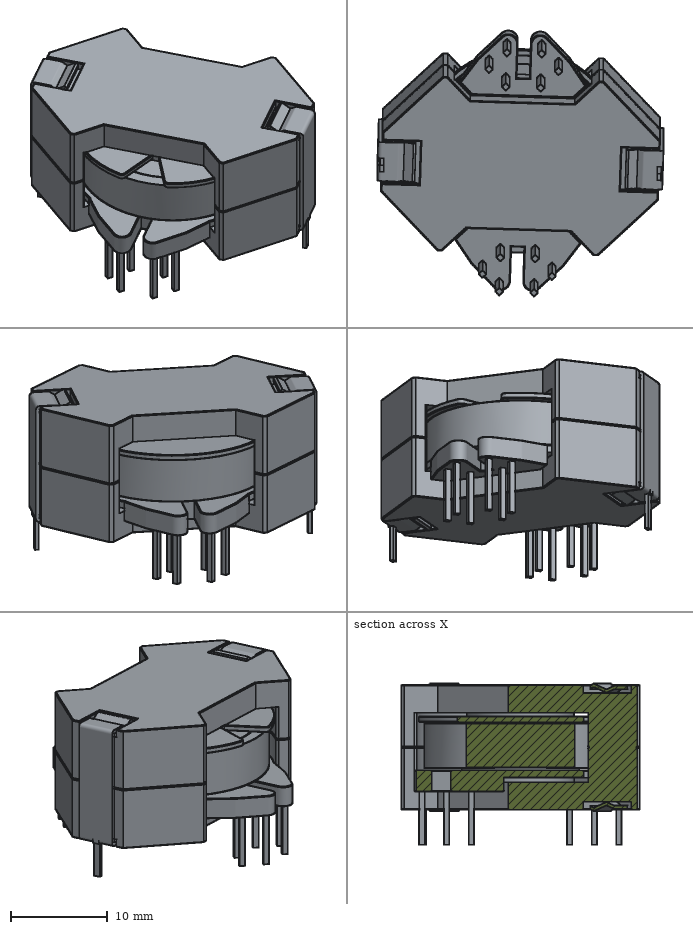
import cadquery as cq
import math

core_half_side = 12.35
long_diagonal = 45
nose_angles = (long_diagonal, long_diagonal + 180)
core_half_height = 6.47
notch_edge = 0.95
waist_half_width = 6.72
nose_distance = 14.35
tip_chamfer = 0.32
edge_chamfer = 0.1
post_radius = 11.1 / 2
window_radius = 10.77
window_half_width = 7.11
window_half_height = 3.58

clip_width = 4.08
sheet = 0.4
clip_top = 6.4
clip_outer = nose_distance + sheet
hook_top = 6.62
seat_width = 4.55
seat_depth = 0.85
seat_chamfer = 0.1
seat_end = 10.4
dip_start = 12.67
dip_bottom = 12.08
hook_ridge = 11.15
hook_tip = 10.9
hook_tip_drop = 0.2
dip_rounding = 0.3
clip_pin_width = 0.72
clip_pin_inset = 0.2

tube_radius = 12.2 / 2
flange_radius = 10.52
upper_flange_top = 3.2
upper_flange_bottom = 2.6
lower_flange_top = -2.35
lower_flange_bottom = -3.14
coil_top = 2.52
coil_bottom = -2.15
coil_radius = 19.85 / 2
inner_tape_radii = (17.27 / 2, 17.36 / 2)
outer_tape_radii = (coil_radius, 19.95 / 2)
tape_margin = 0.05
wire_slot_half_angle = 25.0
wire_slot_apex = 5.4
wire_slot_angle = long_diagonal - 90
wire_slot_rounding = 0.5
moulded_edge = 0.1

pad_angles = (long_diagonal + 90, long_diagonal - 90)
pad_bottom = -4.57
pad_edge = 11.0
pad_shoulder = 4.25
pad_taper_end = 10.47
pad_gap = 0.27
pad_slot_width = 1.33
pad_slot_end = 8.9
pad_corner_radius = 1.0
pin_size = 0.57
pin_cover = 0.4
pin_pitch = 2.55
total_height = 16.7
pin_bottom = hook_top - total_height


def slab(outline, bottom, top):
    """Extrude a closed XY polygon between two heights."""
    return cq.Workplane("XY", origin=(0, 0, bottom)).polyline(outline).close().extrude(top - bottom)


def disc(radius, bottom, top):
    """Cylinder about the Z axis between two heights."""
    return cq.Workplane("XY", origin=(0, 0, bottom)).circle(radius).extrude(top - bottom)


def about_axis(solid, angle):
    """Turn a solid about the Z axis by an angle in degrees."""
    return solid.rotate((0, 0, 0), (0, 0, 1), angle)


def core_outline():
    """Half the outline, followed by the same half turned by 180 degrees."""
    side = core_half_side
    nose_end = nose_distance * math.sqrt(2) - side
    inner = waist_half_width * math.sqrt(2) - notch_edge
    half = [
        (-inner, notch_edge),
        (-notch_edge, inner),
        (-notch_edge, side - tip_chamfer),
        (-notch_edge + tip_chamfer, side),
        (nose_end, side),
        (side, nose_end),
        (side, -notch_edge + tip_chamfer),
        (side - tip_chamfer, -notch_edge),
    ]
    return half + [(-x, -y) for x, y in half]


def make_half_core():
    """Upper half with its mating face at Z = 0."""
    half = slab(core_outline(), 0, core_half_height).faces(">Z").edges().chamfer(edge_chamfer)
    mouths = cq.Workplane("XY").box(2 * window_half_width, 3 * core_half_side, 2 * window_half_height)
    window = disc(window_radius, 0, window_half_height).union(about_axis(mouths, long_diagonal))
    half = half.cut(window).faces("<Z").edges().chamfer(edge_chamfer)
    return half.union(disc(post_radius, 0, window_half_height))


def make_clip_seat():
    """Cutter for one clip recess in the upper rim, chamfered where it meets the rim; points along +X."""
    length = core_half_side
    middle = seat_end + length / 2
    seat = cq.Workplane("XY").box(length, seat_width, 2 * seat_depth)
    seat = seat.translate((middle, 0, core_half_height))
    mouth = cq.Workplane("XY", origin=(middle, 0, core_half_height - seat_chamfer)).rect(length, seat_width)
    widening = 2 * seat_chamfer
    mouth = mouth.workplane(offset=seat_chamfer).rect(length + widening, seat_width + widening)
    return seat.union(mouth.loft(ruled=True))


def make_core():
    half = make_half_core()
    for angle in nose_angles:
        half = half.cut(about_axis(make_clip_seat(), angle))
    return half.union(half.mirror("XY"))


def make_clip():
    """Bent sheet hooked over both rims, with a solder pin; built pointing along +X."""
    dip = core_half_height - seat_depth + sheet
    outer_line = [
        (clip_outer, clip_top),
        (dip_start, clip_top),
        (dip_bottom, dip),
        (hook_ridge, hook_top),
        (hook_tip, hook_top - hook_tip_drop),
    ]
    inner_line = [(x, z - sheet) for x, z in reversed(outer_line[1:])]
    upper = outer_line + inner_line + [(nose_distance, clip_top - sheet), (nose_distance, 0), (clip_outer, 0)]
    arm = cq.Workplane("XZ").polyline(upper).close().extrude(clip_width / 2, both=True)
    arm = arm.edges("|Y").edges(">X").edges(">Z").fillet(sheet)
    dip_edge = cq.selectors.NearestToPointSelector((dip_start, 0, clip_top))
    arm = arm.edges("|Y").edges(dip_edge).fillet(dip_rounding)
    clip = arm.union(arm.mirror("XY"))
    tab_bottom = -clip_top
    pin_top = sheet - clip_top
    standing = (True, True, False)
    tab = cq.Workplane("XY").box(sheet, clip_pin_width, pin_top - tab_bottom, centered=standing)
    tab = tab.translate((clip_outer - sheet / 2, 0, tab_bottom))
    pin = cq.Workplane("XY").box(sheet, clip_pin_width, pin_top - pin_bottom, centered=standing)
    pin = pin.translate((clip_outer - clip_pin_inset - sheet / 2, 0, pin_bottom))
    return clip.union(tab).union(pin)


def make_upper_flange():
    """Flange disc with a V-shaped wire exit cut through one side."""
    flange = disc(flange_radius, upper_flange_bottom, upper_flange_top)
    reach = core_half_side
    spread = (reach - wire_slot_apex) * math.tan(math.radians(wire_slot_half_angle))
    wedge = [(wire_slot_apex, 0), (reach, -spread), (reach, spread)]
    slot = about_axis(slab(wedge, upper_flange_bottom, upper_flange_top), wire_slot_angle)
    flange = flange.cut(slot)
    flange = flange.edges("|Z").edges(">X or <Y").fillet(wire_slot_rounding)
    return flange.faces("<Z or >Z").edges().chamfer(moulded_edge)


def make_pads():
    """The slotted pair of terminal pads in the upper-left notch, mirrored about X = -Y."""
    inner_edge = notch_edge + pad_gap
    waist_line = (waist_half_width + pad_gap) * math.sqrt(2)
    slot_offset = pad_slot_width / math.sqrt(2)
    slot_floor = pad_slot_end * math.sqrt(2)
    nose = (slot_offset - pad_edge, pad_edge)
    half = [
        (-inner_edge, waist_line - inner_edge),
        (-inner_edge, pad_taper_end),
        (-pad_shoulder, pad_edge),
        nose,
        ((slot_offset - slot_floor) / 2, (slot_offset + slot_floor) / 2),
    ]
    pads = slab(half + [(-y, -x) for x, y in reversed(half)], pad_bottom, lower_flange_top)
    shoulder = (-pad_shoulder, pad_edge)
    for x, y in (nose, shoulder, (-nose[1], -nose[0]), (-shoulder[1], -shoulder[0])):
        corner = cq.selectors.NearestToPointSelector((x, y, (pad_bottom + lower_flange_top) / 2))
        pads = pads.edges("|Z").edges(corner).fillet(pad_corner_radius)
    return pads


def make_pins():
    """Three square pins in each of the four pads."""
    near, middle, far = (2 * pin_pitch, 3 * pin_pitch, 4 * pin_pitch)
    places = [(far, near), (far, middle), (middle, near)]
    places += [(y, x) for x, y in places]
    points = [(-x, y) for x, y in places] + [(x, -y) for x, y in places]
    length = lower_flange_top - pin_bottom - pin_cover
    pins = cq.Workplane("XY", origin=(0, 0, pin_bottom)).pushPoints(points)
    return pins.rect(pin_size, pin_size).extrude(length)


def make_base():
    """Lower flange with both pairs of terminal pads."""
    base = disc(flange_radius, lower_flange_bottom, lower_flange_top)
    slot_height = lower_flange_top - lower_flange_bottom
    slot = cq.Workplane("XY", origin=(pad_slot_end, 0, lower_flange_bottom))
    slot = slot.box(core_half_side, pad_slot_width, slot_height, centered=(False, True, False))
    for angle in pad_angles:
        base = base.cut(about_axis(slot, angle))
    pads = make_pads()
    base = base.union(pads).union(about_axis(pads, 180))
    return base.faces("<Z or >Z").edges().chamfer(moulded_edge)


def make_winding():
    """Two coil layers, each wrapped in a thin tape."""
    winding = disc(coil_radius, coil_bottom + tape_margin, coil_top - tape_margin)
    for inner, outer in (inner_tape_radii, outer_tape_radii):
        tape = disc(outer, coil_bottom, coil_top).cut(disc(inner, coil_bottom, coil_top))
        winding = winding.union(tape)
    return winding


def make_former():
    former = make_base().union(make_upper_flange()).union(make_pins()).union(make_winding())
    former = former.union(disc(tube_radius, lower_flange_bottom, upper_flange_top))
    return former.cut(disc(post_radius, lower_flange_bottom, upper_flange_top))


result = make_core().union(make_former())
for nose_angle in nose_angles:
    result = result.union(about_axis(make_clip(), nose_angle))